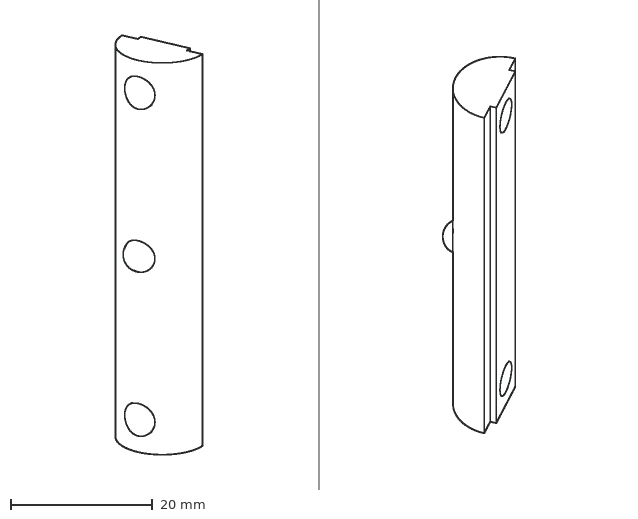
import cadquery as cq

length = 60.0
body_width = 13.25
rail_width = 8.1
rail_height = 0.9
total_depth = 9.3
hole_diameter = 5.0
hole_end_distance = 5.0
ball_diameter = 5.0

body_radius = body_width / 2
ball_radius = ball_diameter / 2
ball_tip_y = rail_height - total_depth


def half_round_body():
    """Half-round bar with a raised rail along its flat back."""
    half_rail = rail_width / 2
    return (
        cq.Workplane("XY")
        .moveTo(-body_radius, 0)
        .threePointArc((0, -body_radius), (body_radius, 0))
        .lineTo(half_rail, 0)
        .lineTo(half_rail, rail_height)
        .lineTo(-half_rail, rail_height)
        .lineTo(-half_rail, 0)
        .close()
        .extrude(length)
    )


def spring_ball():
    """Ball seated halfway along the round face."""
    return cq.Workplane("XY").sphere(ball_radius).translate((0, ball_tip_y + ball_radius, length / 2))


def cross_hole(height):
    """Cylinder through the full depth of the bar at the given Z."""
    return (
        cq.Workplane("XZ", origin=(0, rail_height, height))
        .circle(hole_diameter / 2)
        .extrude(total_depth)
    )


result = half_round_body().union(spring_ball())
for hole_height in (hole_end_distance, length - hole_end_distance):
    result = result.cut(cross_hole(hole_height))